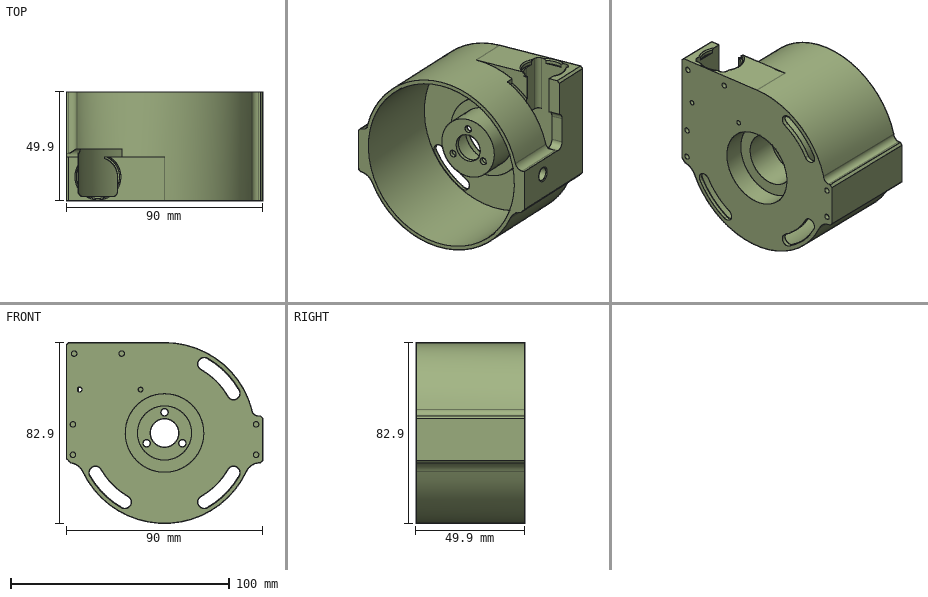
import cadquery as cq
import math

WIDTH = 90.0
DEPTH = 49.9
BODY_RADIUS = 41.445
CAVITY_RADIUS = 39.6
PLATE_THICKNESS = 2.0

HALF_WIDTH = WIDTH / 2
RIGHT_TOP = 7.8
LEFT_TOP = 7.3
FLANGE_BOTTOM = -13.7
CORNER_CHAMFER = 1.1
LOWER_LEFT_CHAMFER = 2.0
RIGHT_TOP_FILLET = 3.0
LEFT_TOP_BLEND = 3.9
BOTTOM_BLEND = 7.0

BLOCK_DEPTH = 20.0

SEAT_RADIUS = 18.0
SEAT_DEPTH = 9.9
SEAT_WALL = 1.0
SEAT_FLOOR = 2.0
HUB_BORE_RADIUS = 12.4
HUB_WALL = 1.8
HUB_DEPTH = 27.0
HUB_FLOOR = 2.0
SHAFT_HOLE_RADIUS = 6.5
HUB_SCREW_RADIUS = 1.6
HUB_SCREW_CIRCLE = 9.45

SLOT_CIRCLE = 36.45
SLOT_WIDTH = 5.8
SLOT_HALF_ANGLE = 15.2
SLOT_ANGLES = (45, -45, -135)

POCKET_X = -30.5
POCKET_RADIUS = 9.0
POCKET_Y = PLATE_THICKNESS + POCKET_RADIUS
POCKET_CORNER = 2.3
POCKET_REAR_EDGE_X = -27.5
POCKET_REAR_Y = 21.9
LIP_RADIUS = 9.9
LIP_DEPTH = 2.2
LIP_CHAMFER = 0.6
PIN_Y = 15.5
PIN_Z = 37.7
PIN_RADIUS = 0.7
PIN_LENGTH = 5.4

PAD_DEPTH = 11.0
PAD_RIGHT_X = -7.2
PAD_BOTTOM = 16.2

OPENING_FRONT = 17.6
OPENING_REAR = 23.85
OPENING_BOTTOM = 7.1
OPENING_TOP = 24.9
OPENING_END_X = -19.4

SIDE_HOLE_Y = 33.8
SIDE_HOLE_RADIUS = 3.1
SIDE_HOLE_LENGTH = 13.5
SIDE_HOLE_CHAMFER = 0.45

SCREW_RADIUS = 1.3
SCREW_DEPTH = 9.9
FLANGE_SCREW_X = 41.9
FLANGE_SCREW_Z = (4.0, -10.0)
BLOCK_SCREW_X = (-41.4, -19.6)
BLOCK_SCREW_Z = 36.4
DOWEL_RADIUS = 1.1
DOWEL_Z = 19.9
DOWEL_X = (-38.9, -11.0)
DOWEL_DEPTH = 4.0


def cylinder(radius, start, end, x=0.0, z=0.0):
    """Cylinder along Y from start to end."""
    direction = cq.Vector(0, 1, 0)
    return cq.Workplane(cq.Solid.makeCylinder(radius, end - start, cq.Vector(x, start, z), direction))


def box(x_range, y_range, z_range):
    """Box between pairs of limits."""
    spans = [high - low for low, high in (x_range, y_range, z_range)]
    corner = (x_range[0], y_range[0], z_range[0])
    return cq.Workplane("XY").box(*spans, centered=False).translate(corner)


def extrude_back(sketch, length):
    """Extrude an XZ outline toward +Y."""
    return sketch.extrude(-length)


def blend_points(side, edge_z, radius):
    """Flange end, middle and body end of a blend from a flange edge to the round body."""
    up = math.copysign(1, edge_z)
    center_z = edge_z + up * radius
    reach = BODY_RADIUS + radius
    center_x = math.sqrt(reach**2 - center_z**2)
    toward_body = math.atan2(-center_z, -center_x)
    toward_flange = -up * math.pi / 2
    middle_angle = (toward_body + toward_flange) / 2
    flange_end = (side * center_x, edge_z)
    middle = (
        side * (center_x + radius * math.cos(middle_angle)),
        center_z + radius * math.sin(middle_angle),
    )
    body_end = (side * center_x * BODY_RADIUS / reach, center_z * BODY_RADIUS / reach)
    return flange_end, middle, body_end


def right_top_fillet_points():
    """Body end, middle and flange end of the quarter-round that meets the body at an edge."""
    radius = RIGHT_TOP_FILLET
    center_z = RIGHT_TOP + radius
    body_x = math.sqrt(BODY_RADIUS**2 - center_z**2)
    center_x = body_x + radius
    diagonal = radius * math.sqrt(0.5)
    return (body_x, center_z), (center_x - diagonal, center_z - diagonal), (center_x, RIGHT_TOP)


def make_corner_wedge(side, edge_z, size):
    """Triangular cutter that chamfers an outer flange corner and reaches past both edges."""
    corner_x = side * HALF_WIDTH
    inward = -math.copysign(size, edge_z)
    outline = cq.Workplane("XZ").polyline(
        [
            (corner_x + side * size, edge_z + 2 * inward),
            (corner_x + side * size, edge_z - inward),
            (corner_x - 2 * side * size, edge_z - inward),
        ]
    )
    return extrude_back(outline.close(), DEPTH)


def make_outside():
    right_top_body, right_top_middle, right_top = right_top_fillet_points()
    right_low, right_low_middle, right_low_body = blend_points(1, FLANGE_BOTTOM, BOTTOM_BLEND)
    left_low, left_low_middle, left_low_body = blend_points(-1, FLANGE_BOTTOM, BOTTOM_BLEND)
    left_top, left_top_middle, left_top_body = blend_points(-1, LEFT_TOP, LEFT_TOP_BLEND)
    profile = (
        cq.Workplane("XZ")
        .moveTo(*left_top_body)
        .threePointArc((0, BODY_RADIUS), right_top_body)
        .threePointArc(right_top_middle, right_top)
        .lineTo(HALF_WIDTH, RIGHT_TOP)
        .lineTo(HALF_WIDTH, FLANGE_BOTTOM)
        .lineTo(*right_low)
        .threePointArc(right_low_middle, right_low_body)
        .threePointArc((0, -BODY_RADIUS), left_low_body)
        .threePointArc(left_low_middle, left_low)
        .lineTo(-HALF_WIDTH, FLANGE_BOTTOM)
        .lineTo(-HALF_WIDTH, LEFT_TOP)
        .lineTo(*left_top)
        .threePointArc(left_top_middle, left_top_body)
        .close()
    )
    outside = extrude_back(profile, DEPTH)
    outside = outside.cut(make_corner_wedge(1, RIGHT_TOP, CORNER_CHAMFER))
    outside = outside.cut(make_corner_wedge(1, FLANGE_BOTTOM, CORNER_CHAMFER))
    outside = outside.cut(make_corner_wedge(-1, FLANGE_BOTTOM, LOWER_LEFT_CHAMFER))
    block = box((-HALF_WIDTH, 0), (0, BLOCK_DEPTH), (0, BODY_RADIUS))
    block = block.edges("|Y and <X and >Z").chamfer(CORNER_CHAMFER)
    return outside.union(block)


def add_hub(body):
    body = body.union(cylinder(SEAT_RADIUS + SEAT_WALL, 0, SEAT_DEPTH + SEAT_FLOOR))
    body = body.union(cylinder(HUB_BORE_RADIUS + HUB_WALL, 0, HUB_DEPTH))
    body = body.cut(cylinder(SEAT_RADIUS, 0, SEAT_DEPTH))
    body = body.cut(cylinder(HUB_BORE_RADIUS, 0, HUB_DEPTH - HUB_FLOOR))
    body = body.cut(cylinder(SHAFT_HOLE_RADIUS, 0, HUB_DEPTH))
    for angle in (90, 210, 330):
        x = HUB_SCREW_CIRCLE * math.cos(math.radians(angle))
        z = HUB_SCREW_CIRCLE * math.sin(math.radians(angle))
        body = body.cut(cylinder(HUB_SCREW_RADIUS, 0, HUB_DEPTH, x, z))
    return body


def make_curved_slot(angle):
    def at(radius, degrees):
        return (radius * math.cos(math.radians(degrees)), radius * math.sin(math.radians(degrees)))

    inner = SLOT_CIRCLE - SLOT_WIDTH / 2
    outer = SLOT_CIRCLE + SLOT_WIDTH / 2
    start = angle - SLOT_HALF_ANGLE
    end = angle + SLOT_HALF_ANGLE
    cap = math.degrees(SLOT_WIDTH / 2 / SLOT_CIRCLE)
    outline = (
        cq.Workplane("XZ")
        .moveTo(*at(inner, start))
        .threePointArc(at(inner, angle), at(inner, end))
        .threePointArc(at(SLOT_CIRCLE, end + cap), at(outer, end))
        .threePointArc(at(outer, angle), at(outer, start))
        .threePointArc(at(SLOT_CIRCLE, start - cap), at(inner, start))
        .close()
    )
    return extrude_back(outline, PLATE_THICKNESS)


def make_pad():
    """Solid patch, trimmed to the round body, that backs the right dowel hole."""
    block = box((POCKET_X, PAD_RIGHT_X), (0, PAD_DEPTH), (PAD_BOTTOM, BODY_RADIUS))
    return block.intersect(cylinder(BODY_RADIUS, 0, PAD_DEPTH))


def make_pocket():
    """U-shaped pocket with its round mouth, rear break-out and cross pin hole."""
    left = POCKET_X - POCKET_RADIUS
    right = POCKET_X + POCKET_RADIUS
    heights = (0, BODY_RADIUS)
    front_half = box((left, right), (PLATE_THICKNESS, POCKET_Y), heights)
    front_half = front_half.edges("|Z and <Y").fillet(POCKET_CORNER)
    round_part = cq.Workplane("XY").center(POCKET_X, POCKET_Y).circle(POCKET_RADIUS).extrude(BODY_RADIUS)
    rear = box((left, POCKET_REAR_EDGE_X), (POCKET_Y, POCKET_REAR_Y), heights)
    lip = (
        cq.Workplane("XY", origin=(POCKET_X, POCKET_Y, BODY_RADIUS - LIP_DEPTH))
        .circle(LIP_RADIUS)
        .extrude(LIP_DEPTH)
    )
    mouth = cq.Workplane(
        cq.Solid.makeCone(
            LIP_RADIUS,
            LIP_RADIUS + LIP_CHAMFER,
            LIP_CHAMFER,
            cq.Vector(POCKET_X, POCKET_Y, BODY_RADIUS - LIP_CHAMFER),
            cq.Vector(0, 0, 1),
        )
    )
    pin = (
        cq.Workplane("YZ", origin=(POCKET_X + POCKET_RADIUS - PIN_LENGTH / 2, PIN_Y, PIN_Z))
        .circle(PIN_RADIUS)
        .extrude(PIN_LENGTH)
    )
    return front_half.union(round_part).union(rear).union(lip).union(mouth).union(pin)


def make_side_opening():
    """Round-ended slot through the left flange with a taller notch into the body wall."""
    width = OPENING_REAR - OPENING_FRONT
    height = OPENING_TOP - OPENING_BOTTOM
    middle_y = (OPENING_FRONT + OPENING_REAR) / 2
    middle_z = (OPENING_BOTTOM + OPENING_TOP) / 2
    slot = (
        cq.Workplane("YZ", origin=(-HALF_WIDTH, middle_y, middle_z))
        .slot2D(height, width, 90)
        .extrude(HALF_WIDTH + OPENING_END_X)
    )
    notch = box((-HALF_WIDTH, OPENING_END_X), (BLOCK_DEPTH, OPENING_REAR), (middle_z, BODY_RADIUS))
    return slot.union(notch)


def make_side_hole():
    start = cq.Vector(-HALF_WIDTH, SIDE_HOLE_Y, 0)
    direction = cq.Vector(1, 0, 0)
    hole = cq.Workplane(cq.Solid.makeCylinder(SIDE_HOLE_RADIUS, SIDE_HOLE_LENGTH, start, direction))
    rim_radius = SIDE_HOLE_RADIUS + SIDE_HOLE_CHAMFER
    rim = cq.Solid.makeCone(rim_radius, SIDE_HOLE_RADIUS, SIDE_HOLE_CHAMFER, start, direction)
    return hole.union(cq.Workplane(rim))


def cut_front_holes(body):
    screws = [(x, BLOCK_SCREW_Z) for x in BLOCK_SCREW_X]
    screws += [(side * FLANGE_SCREW_X, z) for side in (-1, 1) for z in FLANGE_SCREW_Z]
    for x, z in screws:
        body = body.cut(cylinder(SCREW_RADIUS, 0, SCREW_DEPTH, x, z))
    for x in DOWEL_X:
        body = body.cut(cylinder(DOWEL_RADIUS, 0, DOWEL_DEPTH, x, DOWEL_Z))
    return body


result = make_outside().cut(cylinder(CAVITY_RADIUS, PLATE_THICKNESS, DEPTH)).union(make_pad())
result = result.cut(make_pocket()).cut(make_side_opening()).cut(make_side_hole())
result = add_hub(result)
for slot_angle in SLOT_ANGLES:
    result = result.cut(make_curved_slot(slot_angle))
result = cut_front_holes(result)